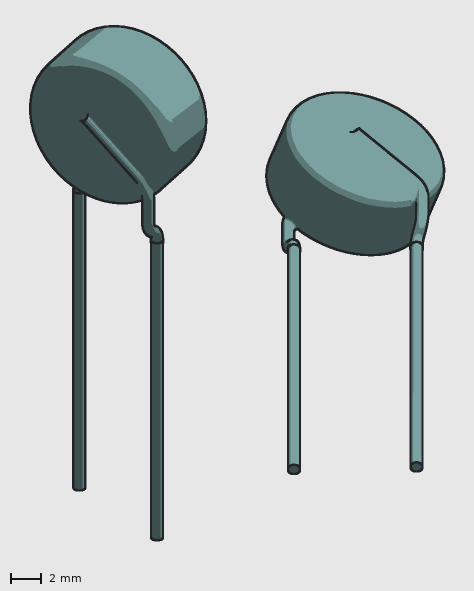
import cadquery as cq
import math

disc_diameter = 11.0
disc_thickness = 5.45
disc_edge_radius = 1.0

overall_height = 36.0
overall_thickness = 5.9

lead_pitch = 7.5
lead_diameter = 0.8
collar_diameter = 0.85

tip_reach = 0.85
tip_height = 0.86
tip_slope = 39.5
knee_start_z = -3.83

kink_start_z = -5.7
kink_angle = 60.0
kink_upper_radius = 1.2
kink_lower_radius = 1.1
collar_length = 0.2

coating_fillet = 0.2

disc_radius = disc_diameter / 2
lead_x = lead_pitch / 2
face_lead_offset = (overall_thickness - lead_diameter) / 2
lead_bottom_z = disc_radius - overall_height


def make_disc():
    disc = cq.Workplane("XZ").circle(disc_radius).extrude(disc_thickness / 2, both=True)
    return disc.edges().fillet(disc_edge_radius)


def make_bent_wire():
    """Front wire: diagonal on the disc face, knee, vertical run and kink.

    Also returns the point where the kink ends and the straight lead starts.
    """
    slope = math.radians(tip_slope)
    face_y = -face_lead_offset
    tip = cq.Vector(-tip_reach, face_y, tip_height)
    corner_z = tip_height - (lead_x + tip_reach) * math.tan(slope)
    knee_tangent = corner_z - knee_start_z
    knee_top = cq.Vector(
        lead_x - knee_tangent * math.cos(slope), face_y, corner_z + knee_tangent * math.sin(slope)
    )
    knee_bottom = cq.Vector(lead_x, face_y, knee_start_z)

    kink = math.radians(kink_angle)
    kink_top = cq.Vector(lead_x, face_y, kink_start_z)
    step = cq.Vector(0, 1 - math.cos(kink), -math.sin(kink))
    kink_middle = kink_top + step * kink_upper_radius
    kink_bottom = kink_middle + step * kink_lower_radius

    down = cq.Vector(0, 0, -1)
    diagonal = (knee_top - tip).normalized()
    kink_direction = cq.Vector(0, math.sin(kink), -math.cos(kink))
    path = cq.Wire.assembleEdges([
        cq.Edge.makeLine(tip, knee_top),
        cq.Edge.makeTangentArc(knee_top, diagonal, knee_bottom),
        cq.Edge.makeLine(knee_bottom, kink_top),
        cq.Edge.makeTangentArc(kink_top, down, kink_middle),
        cq.Edge.makeTangentArc(kink_middle, kink_direction, kink_bottom),
    ])
    profile = cq.Workplane(cq.Plane(origin=tip, normal=diagonal)).circle(lead_diameter / 2)
    return profile.sweep(cq.Workplane(path)), kink_bottom


def make_straight_lead(top):
    """Straight lead below the kink, headed by a collar whose lower half tapers to the wire."""
    start = cq.Workplane("XY", origin=top.toTuple())
    lead = start.circle(lead_diameter / 2).extrude(lead_bottom_z - top.z)
    collar = start.circle(collar_diameter / 2).extrude(-collar_length)
    collar = collar.faces("<Z").chamfer(collar_length / 2, (collar_diameter - lead_diameter) / 2)
    return lead.union(collar)


def half_turn(shape):
    """Copy for the opposite side: half a turn about the vertical axis."""
    return shape.rotate((0, 0, 0), (0, 0, 1), 180)


def joint_edges(joined, first, second):
    """Edges of a union along which the skins of its two members meet."""
    tolerance = 1e-4
    skins = [first.val().Shells()[0], second.val().Shells()[0]]

    def on_both_skins(edge):
        middle = cq.Vertex.makeVertex(*edge.positionAt(0.5).toTuple())
        return all(skin.distance(middle) < tolerance for skin in skins)

    return joined.edges().filter(on_both_skins)


def make_capacitor():
    disc = make_disc()
    bent_wire, kink_bottom = make_bent_wire()
    straight_lead = make_straight_lead(kink_bottom)

    part = disc
    for wire in (bent_wire, half_turn(bent_wire)):
        part = part.union(wire)
        part = joint_edges(part, disc, wire).fillet(coating_fillet)
    return part.union(straight_lead).union(half_turn(straight_lead))


result = make_capacitor()